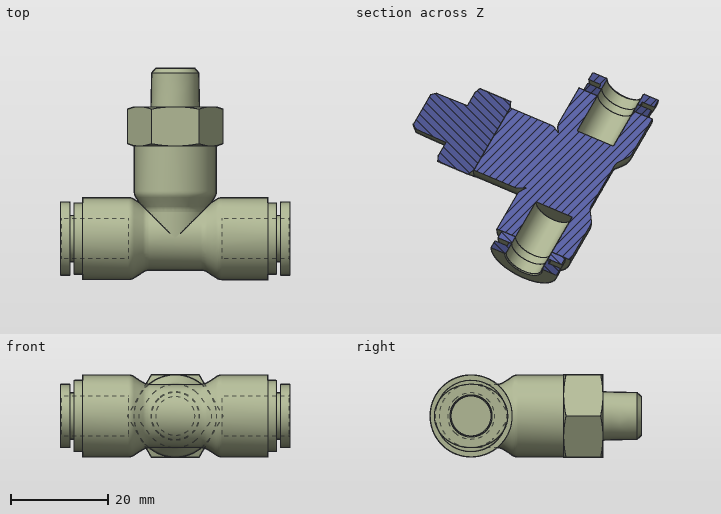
import cadquery as cq
import math


arm_radius = 8.45
waist_radius = 6.5
arm_end = 19.0
cone_outer = 9.0
cone_inner = 6.0
cone_blend = 2.0

port_radius = 8.2 / 2
port_end = 9.6

collar_radius = 14.7 / 2
collar_length = 1.8
collar_rounding = 0.2
collar_end = arm_end + collar_length

button_end = 23.6
flange_width = 15.1
flange_height = 13.07
flange_thickness = 2.0
flange_rounding = 0.2
neck_radius = 9.6 / 2
neck_length = button_end - flange_thickness - collar_end
mouth_chamfer = 0.25

hex_across_flats = 17.0
hex_length = 8.05
hex_bevel_angle = 20.0
stud_length = 7.95
stud_root_radius = 5.0
stud_tip_radius = 4.85
stud_chamfer_length = 0.95
stud_chamfer_depth = 0.85


def arm(end):
    """Solid arm from the crossing to its wide end, along +Y."""
    slope = math.atan2(arm_radius - waist_radius, cone_outer - cone_inner)
    tangent = cone_blend * math.tan(slope / 2)
    across = tangent * math.sin(slope)
    along = tangent * math.cos(slope)
    return (
        cq.Workplane("XY")
        .lineTo(waist_radius, 0)
        .lineTo(waist_radius, cone_inner - tangent)
        .tangentArcPoint((waist_radius + across, cone_inner + along), relative=False)
        .lineTo(arm_radius - across, cone_outer - along)
        .tangentArcPoint((arm_radius, cone_outer + tangent), relative=False)
        .lineTo(arm_radius, end)
        .lineTo(0, end)
        .close()
        .revolve(360, (0, 0), (0, 1))
    )


def make_housing():
    """Tee housing with a blind port in each end of the run."""
    branch = arm(arm_end)
    tee = branch
    for turn in (90, -90):
        tee = tee.union(branch.rotate((0, 0, 0), (0, 0, 1), turn))
    for side in (1, -1):
        port = (
            cq.Workplane("YZ", origin=(side * port_end, 0, 0))
            .circle(port_radius)
            .extrude(side * (arm_end - port_end))
        )
        tee = tee.cut(port)
    return tee


def make_collar(side):
    """Ring against the end of the run, on the +X (1) or -X (-1) side."""
    return (
        cq.Workplane("YZ", origin=(side * arm_end, 0, 0))
        .circle(collar_radius)
        .extrude(side * collar_length)
        .faces(">X" if side > 0 else "<X")
        .edges()
        .fillet(collar_rounding)
        .cut(
            cq.Workplane("YZ", origin=(side * arm_end, 0, 0))
            .circle(port_radius)
            .extrude(side * collar_length)
        )
    )


def make_button(side):
    """Release button: round neck, oval flange and a through port."""
    neck = (
        cq.Workplane("YZ", origin=(side * collar_end, 0, 0))
        .circle(neck_radius)
        .extrude(side * neck_length)
    )
    flange = (
        cq.Workplane("YZ", origin=(side * button_end, 0, 0))
        .ellipse(flange_width / 2, flange_height / 2)
        .extrude(-side * flange_thickness)
        .faces("<X or >X")
        .edges()
        .fillet(flange_rounding)
    )
    port = (
        cq.Workplane("YZ", origin=(side * collar_end, 0, 0))
        .circle(port_radius)
        .extrude(side * (button_end - collar_end))
    )
    return (
        neck.union(flange)
        .cut(port)
        .faces(">X" if side > 0 else "<X")
        .edges("%CIRCLE")
        .chamfer(mouth_chamfer)
    )


def make_stud():
    """Hexagon with bevelled corners and a slightly tapered, chamfered stud."""
    hex_start = arm_end
    hex_end = hex_start + hex_length
    stud_end = hex_end + stud_length
    flat_radius = hex_across_flats / 2
    corner_radius = flat_radius / math.cos(math.pi / 6)
    bevel = (corner_radius - flat_radius) * math.tan(math.radians(hex_bevel_angle))

    hexagon = (
        cq.Workplane("XZ", origin=(0, hex_start, 0))
        .polygon(6, 2 * corner_radius)
        .extrude(-hex_length)
    )
    bevel_envelope = (
        cq.Workplane("XY")
        .moveTo(0, hex_start)
        .lineTo(flat_radius, hex_start)
        .lineTo(corner_radius, hex_start + bevel)
        .lineTo(corner_radius, hex_end - bevel)
        .lineTo(flat_radius, hex_end)
        .lineTo(0, hex_end)
        .close()
        .revolve(360, (0, 0), (0, 1))
    )
    spigot = (
        cq.Workplane("XY")
        .moveTo(0, hex_end)
        .lineTo(stud_root_radius, hex_end)
        .lineTo(stud_tip_radius, stud_end - stud_chamfer_length)
        .lineTo(stud_tip_radius - stud_chamfer_depth, stud_end)
        .lineTo(0, stud_end)
        .close()
        .revolve(360, (0, 0), (0, 1))
    )
    return hexagon.intersect(bevel_envelope).union(spigot)


housing = make_housing()
stud = make_stud()
collars = [make_collar(side) for side in (1, -1)]
buttons = [make_button(side) for side in (1, -1)]

result = cq.Compound.makeCompound(
    [housing.val(), stud.val()]
    + [collar.val() for collar in collars]
    + [button.val() for button in buttons]
)